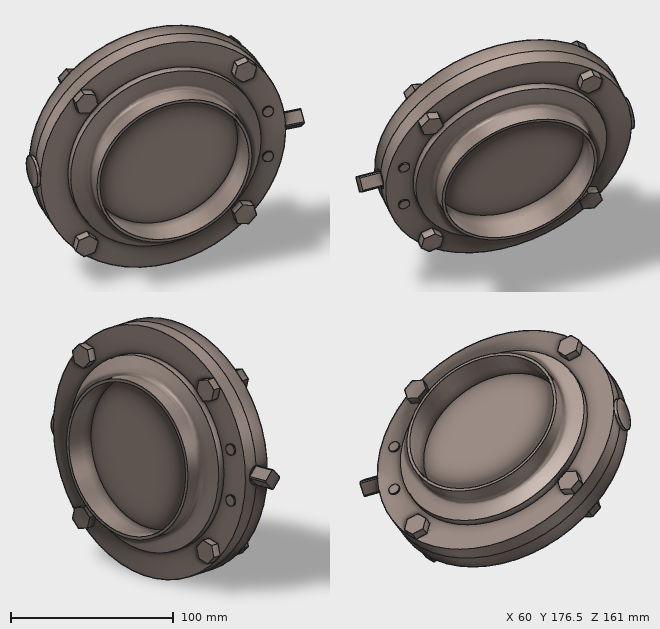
import cadquery as cq
import math


overall_length = 60.0
half_length = overall_length / 2
pipe_radius = 50.8
bore_radius = 48.9
shoulder_radius = 62.5
shoulder_x = 14.8
neck_angle = 15.0
neck_fillet = 3.0

flange_radius = 80.5
flange_thickness = 20.0
flange_face_x = flange_thickness / 2

bolt_count = 4
bolt_circle_radius = 73.6
hex_across_flats = 13.0
hex_corner_diameter = hex_across_flats / math.cos(math.radians(30))
hex_height = 5.6

pin_diameter = 7.0
pin_protrusion = 1.0
pin_y = 68.7
pin_z = 16.5

disc_thickness = flange_thickness
shaft_diameter = 12.4
drive_end_y = 94.0
drive_across_flats = 9.5
cap_diameter = flange_thickness
cap_end_y = -82.5


def make_housing_ring():
    """Revolved half housing on the +X side: flange, conical neck and pipe end."""
    neck_root_x = shoulder_x + (shoulder_radius - pipe_radius) * math.tan(math.radians(neck_angle))
    profile = (
        cq.Workplane("XZ")
        .moveTo(0, bore_radius)
        .lineTo(0, flange_radius)
        .lineTo(flange_face_x, flange_radius)
        .lineTo(flange_face_x, shoulder_radius)
        .lineTo(shoulder_x, shoulder_radius)
        .lineTo(neck_root_x, pipe_radius)
        .lineTo(half_length, pipe_radius)
        .lineTo(half_length, bore_radius)
        .close()
    )
    ring = profile.revolve(360, (0, 0, 0), (1, 0, 0))
    neck_root = cq.selectors.NearestToPointSelector((neck_root_x, 0, 0))
    return ring.edges("%CIRCLE").edges(neck_root).fillet(neck_fillet)


def make_bolt_head(angle):
    """Hexagonal head on the flange face at the given angle from +Y, with a flat facing outward."""
    return (
        cq.Workplane("YZ", origin=(flange_face_x, 0, 0))
        .polygon(6, hex_corner_diameter)
        .extrude(hex_height)
        .rotate((0, 0, 0), (1, 0, 0), 30)
        .translate((0, bolt_circle_radius, 0))
        .rotate((0, 0, 0), (1, 0, 0), angle)
    )


def make_pins():
    """Round pins standing out of the flange face."""
    return (
        cq.Workplane("YZ", origin=(flange_face_x, 0, 0))
        .pushPoints([(pin_y, -pin_z), (pin_y, pin_z)])
        .circle(pin_diameter / 2)
        .extrude(pin_protrusion)
    )


def make_shaft_rod():
    """Round rod along Y, as long as the flange diameter."""
    return (
        cq.Workplane("XZ", origin=(0, flange_radius, 0))
        .circle(shaft_diameter / 2)
        .extrude(2 * flange_radius)
    )


def make_housing_half():
    """Half housing on the +X side, with heads, pins and its half of the shaft hole."""
    housing = make_housing_ring()
    for index in range(bolt_count):
        angle = 360 / bolt_count * (index + 0.5)
        housing = housing.union(make_bolt_head(angle))
    return housing.union(make_pins()).cut(make_shaft_rod())


def make_drive_end():
    """Square drive with its corners turned down to the shaft diameter."""
    drive_length = drive_end_y - flange_radius
    end_plane = cq.Workplane("XZ", origin=(0, drive_end_y, 0))
    turned = end_plane.circle(shaft_diameter / 2).extrude(drive_length)
    square = (
        end_plane
        .transformed(rotate=(0, 0, 45))
        .rect(drive_across_flats, drive_across_flats)
        .extrude(drive_length)
    )
    return turned.intersect(square)


def make_disc_and_shaft():
    """Closed valve disc on its shaft, with the drive end at +Y and a round cap at -Y."""
    disc = (
        cq.Workplane("YZ", origin=(-disc_thickness / 2, 0, 0))
        .circle(bore_radius)
        .extrude(disc_thickness)
    )
    cap = (
        cq.Workplane("XZ", origin=(0, -flange_radius, 0))
        .circle(cap_diameter / 2)
        .extrude(-cap_end_y - flange_radius)
    )
    return disc.union(make_shaft_rod()).union(make_drive_end()).union(cap)


housing_right = make_housing_half()
housing_left = housing_right.mirror("YZ")
disc_and_shaft = make_disc_and_shaft()

result = cq.Compound.makeCompound([housing_left.val(), housing_right.val(), disc_and_shaft.val()])